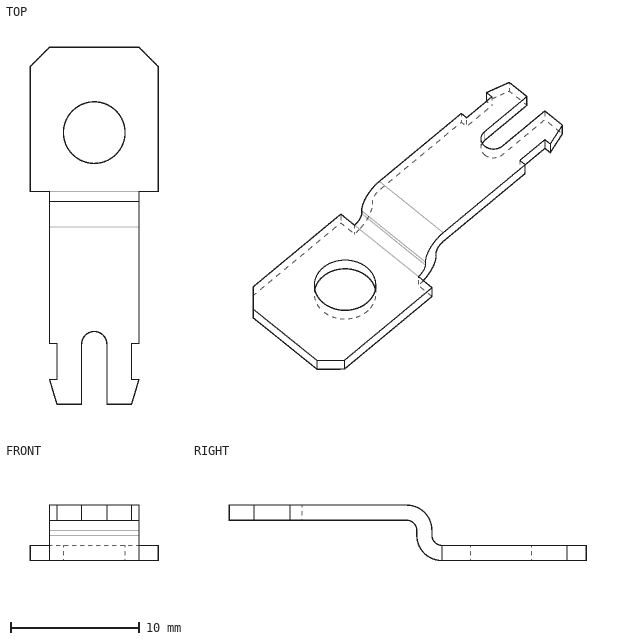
import cadquery as cq

LENGTH = 27.85
HEIGHT = 4.35
THICKNESS = 1.2

LUG_WIDTH = 10.0
LUG_LENGTH = 11.25
LUG_CHAMFER = 1.5
HOLE_DIAMETER = 4.8
HOLE_TO_LUG_END = 6.65

TONGUE_WIDTH = 7.0
BEND_INNER_RADIUS = 0.78
SLOT_WIDTH = 1.95
SLOT_DEPTH = 5.68
NOTCH_DEPTH = 0.58
SHOULDER_TO_TIP = 4.73
BARB_LENGTH = 1.95

LUG_START_Y = LENGTH - LUG_LENGTH
HOLE_Y = LENGTH - HOLE_TO_LUG_END
BEND_OUTER_RADIUS = BEND_INNER_RADIUS + THICKNESS
WALL_FRONT_Y = LUG_START_Y - BEND_OUTER_RADIUS
WALL_BACK_Y = WALL_FRONT_Y + THICKNESS
TONGUE_END_Y = WALL_FRONT_Y - BEND_INNER_RADIUS

TONGUE_BOTTOM_Z = HEIGHT - THICKNESS


def bent_strip():
    """Strip of constant thickness with the S-bend, as wide as the lug."""
    return (
        cq.Workplane("YZ")
        .moveTo(LENGTH, 0)
        .lineTo(LUG_START_Y, 0)
        .radiusArc((WALL_FRONT_Y, BEND_OUTER_RADIUS), BEND_OUTER_RADIUS)
        .lineTo(WALL_FRONT_Y, TONGUE_BOTTOM_Z - BEND_INNER_RADIUS)
        .radiusArc((TONGUE_END_Y, TONGUE_BOTTOM_Z), -BEND_INNER_RADIUS)
        .lineTo(0, TONGUE_BOTTOM_Z)
        .lineTo(0, HEIGHT)
        .lineTo(TONGUE_END_Y, HEIGHT)
        .radiusArc((WALL_BACK_Y, HEIGHT - BEND_OUTER_RADIUS), BEND_OUTER_RADIUS)
        .lineTo(WALL_BACK_Y, THICKNESS + BEND_INNER_RADIUS)
        .radiusArc((LUG_START_Y, THICKNESS), -BEND_INNER_RADIUS)
        .lineTo(LENGTH, THICKNESS)
        .close()
        .extrude(LUG_WIDTH / 2, both=True)
    )


def flat_outline():
    """Plan shape of lug and barbed tongue, as tall as the part."""
    lug_x = LUG_WIDTH / 2
    tongue_x = TONGUE_WIDTH / 2
    notch_x = tongue_x - NOTCH_DEPTH
    right_side = [
        (notch_x, 0),
        (tongue_x, BARB_LENGTH),
        (notch_x, BARB_LENGTH),
        (notch_x, SHOULDER_TO_TIP),
        (tongue_x, SHOULDER_TO_TIP),
        (tongue_x, LUG_START_Y),
        (lug_x, LUG_START_Y),
        (lug_x, LENGTH - LUG_CHAMFER),
        (lug_x - LUG_CHAMFER, LENGTH),
    ]
    left_side = [(-x, y) for x, y in reversed(right_side)]
    return cq.Workplane("XY").polyline(right_side + left_side).close().extrude(HEIGHT)


def lug_hole():
    """Through hole of the lug."""
    return cq.Workplane("XY").center(0, HOLE_Y).circle(HOLE_DIAMETER / 2).extrude(HEIGHT)


def tongue_slot():
    """Slot open at the tongue tip, with a half-round inner end."""
    slot_x = SLOT_WIDTH / 2
    straight_length = SLOT_DEPTH - slot_x
    return (
        cq.Workplane("XY")
        .moveTo(-slot_x, 0)
        .lineTo(slot_x, 0)
        .lineTo(slot_x, straight_length)
        .threePointArc((0, SLOT_DEPTH), (-slot_x, straight_length))
        .close()
        .extrude(HEIGHT)
    )


def make_terminal():
    """Bent sheet terminal; the flush lettering on its tongue is not modelled."""
    return bent_strip().intersect(flat_outline()).cut(lug_hole()).cut(tongue_slot())


terminal = make_terminal()

result = cq.Compound.makeCompound([terminal.solids().val()])